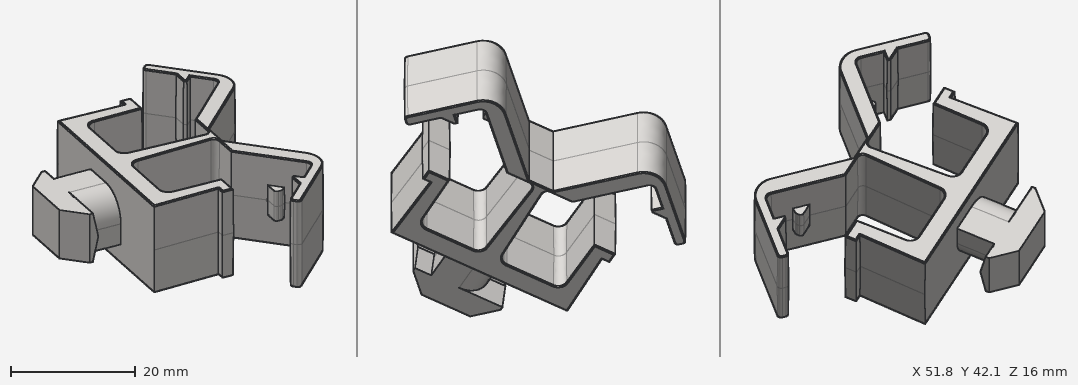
import cadquery as cq
import math

body_width = 51.75
body_length = 31.2
body_height = 16.0
draft_angle = 0.5
rim_chamfer = 0.195

elbow_x = 14.8
elbow_outer_radius = 3.85
elbow_inner_radius = 0.95
outer_arm_thickness = 1.95
inner_arm_thickness = 3.15
tip_radius = 0.65
bridge_top_y = 20.2
bridge_bottom_y = 19.6

barb_offset = 4.75
barb_projection = 1.75
barb_tip_width = 0.65

spine_base_half_width = 1.65
spine_top_half_width = 1.0
spine_top_radius = 0.95

base_half_width = 16.3
base_thickness = 3.55
base_trim = 0.5
tray_corner_radius = 1.5
tray_floor_x = 13.15
tray_rim_x = 13.3
tray_rim_y = 13.95
lip_x = 17.3
lip_thickness = 2.05
wall_top_x = 15.95

nub_height = 5.45
nub_side_x = 13.05
nub_back_y = 23.9
nub_shoulder_y = 25.1
nub_root_x = 12.4
nub_root_y = 25.9
nub_embed = 1.05
nub_radius = 0.5

key_height = 8.9
stem_half_width = 5.05
head_half_width = 8.05
head_ridge_y = -5.75
head_edge_y = -6.7
head_shoulder_y = -7.35
head_end_y = -10.9
head_end_half_width = 4.5

diagonal = math.sqrt(0.5)
corner_loss = math.sqrt(2) - 1
elbow_y = body_length + elbow_outer_radius * corner_loss


def outer_arm(along, depth):
    """Point on the left outer arm: distance from the sharp elbow, and depth from its outer face."""
    return (-elbow_x - (along - depth) * diagonal, elbow_y - (along + depth) * diagonal)


def rounded_wire(corners, inset=0, z=0):
    """Closed counter-clockwise wire through (point, radius) corners, with all sides moved inwards.

    Corners with a radius become tangent arcs, concentric for every inset.
    """
    arcs = []
    for index, (point, radius) in enumerate(corners):
        corner = cq.Vector(*point, z)
        to_previous = (cq.Vector(*corners[index - 1][0], z) - corner).normalized()
        to_next = (cq.Vector(*corners[(index + 1) % len(corners)][0], z) - corner).normalized()
        half_angle = to_previous.getAngle(to_next) / 2
        bisector = (to_previous + to_next).normalized()
        bulge = 1 if to_next.cross(to_previous).z > 0 else -1
        corner += bisector * (bulge * inset / math.sin(half_angle))
        if radius > 0:
            radius -= bulge * inset
        setback = radius / math.tan(half_angle)
        arc_depth = radius / math.sin(half_angle) - radius
        start = corner + to_previous * setback
        middle = corner + bisector * arc_depth
        end = corner + to_next * setback
        arcs.append((start, middle, end, radius))
    edges = []
    for index, (start, middle, end, radius) in enumerate(arcs):
        if radius > 0:
            edges.append(cq.Edge.makeThreePointArc(start, middle, end))
        edges.append(cq.Edge.makeLine(end, arcs[(index + 1) % len(arcs)][0]))
    return cq.Wire.assembleEdges(edges)


def draft_inset(z):
    """Distance the drafted sides have moved inwards at a height above the parting plane."""
    return z * math.tan(math.radians(draft_angle))


def symmetric_loft(corners, levels):
    """Ruled solid through the outline at Z = 0 and its insets at each (z, inset), both up and down."""
    lower = [rounded_wire(corners, inset, -z) for z, inset in reversed(levels)]
    upper = [rounded_wire(corners, inset, z) for z, inset in levels]
    return cq.Workplane(cq.Solid.makeLoft(lower + [rounded_wire(corners)] + upper, True))


def left_outline():
    """Corners of the left half of the body, from the bridge down to the base.

    It runs on past Y = 0 by the trim, so that the back face can be cut without draft.
    """
    tip_x = body_width / 2 + tip_radius * corner_loss
    arm_length = (tip_x - elbow_x) / diagonal
    barb_start = inner_arm_thickness + barb_offset
    barb_depth = outer_arm_thickness + barb_projection
    barb_end = barb_start + barb_tip_width
    bridge_top_x = elbow_x - (elbow_y - bridge_top_y)
    inner_elbow = outer_arm(inner_arm_thickness, outer_arm_thickness)
    bridge_bottom_x = inner_elbow[0] + inner_elbow[1] - bridge_bottom_y
    return [
        ((-bridge_top_x, bridge_top_y), 0),
        ((-elbow_x, elbow_y), elbow_outer_radius),
        (outer_arm(arm_length, 0), tip_radius),
        (outer_arm(arm_length, outer_arm_thickness), tip_radius),
        (outer_arm(barb_end + barb_projection, outer_arm_thickness), 0),
        (outer_arm(barb_end, barb_depth), 0),
        (outer_arm(barb_start, barb_depth), 0),
        (outer_arm(barb_start, outer_arm_thickness), 0),
        (inner_elbow, elbow_inner_radius),
        ((bridge_bottom_x, bridge_bottom_y), 0),
        ((-spine_top_half_width, bridge_bottom_y), spine_top_radius),
        ((-spine_base_half_width, base_thickness), tray_corner_radius),
        ((-tray_floor_x, base_thickness), tray_corner_radius),
        ((-tray_rim_x, tray_rim_y), 0),
        ((-lip_x, tray_rim_y), 0),
        ((-lip_x, tray_rim_y - lip_thickness), 0),
        ((-wall_top_x, tray_rim_y - lip_thickness), 0),
        ((-base_half_width, -base_trim), 0),
    ]


def trim_block(rim_z, top_z):
    """Block that keeps everything on the +Y side of a flat back face with chamfered upper and lower rims."""
    return (
        cq.Workplane("YZ")
        .polyline([
            (0, -rim_z),
            (rim_chamfer, -top_z),
            (body_length, -top_z),
            (body_length, top_z),
            (rim_chamfer, top_z),
            (0, rim_z),
        ])
        .close()
        .extrude(body_width / 2, both=True)
    )


def make_body():
    """Clip profile drafted both ways from the parting plane, with chamfered end rims."""
    left = left_outline()
    right = [((-x, y), radius) for (x, y), radius in reversed(left)]
    outline = left + right
    top_z = body_height / 2
    rim_z = top_z - rim_chamfer
    top_inset = draft_inset(rim_z) + rim_chamfer
    body = symmetric_loft(outline, [(rim_z, draft_inset(rim_z)), (top_z, top_inset)])
    return body.intersect(trim_block(rim_z, top_z))


def make_nub():
    """Left stop nub, rooted inside the inner arm."""
    arm_face_x = nub_root_x - (nub_root_y - nub_back_y)
    outline = [
        ((-nub_root_x, nub_root_y), 0),
        ((-nub_side_x, nub_shoulder_y), nub_radius),
        ((-nub_side_x, nub_back_y), nub_radius),
        ((-arm_face_x, nub_back_y), 0),
        ((-arm_face_x + nub_embed, nub_back_y + nub_embed), 0),
        ((-nub_root_x + nub_embed, nub_root_y + nub_embed), 0),
    ]
    nub_top_z = nub_height / 2
    return symmetric_loft(outline, [(nub_top_z, draft_inset(nub_top_z))])


def make_key():
    """Stem with two opposite rounded corners, ending in a chamfered head with a ridged shoulder."""
    stem = cq.Workplane("XZ").rect(2 * stem_half_width, key_height).extrude(-head_shoulder_y)
    stem = stem.edges("|Y and ((>X and >Z) or (<X and <Z))").fillet(stem_half_width)
    head = (
        cq.Workplane("XY")
        .polyline([
            (-head_half_width, head_ridge_y),
            (head_half_width, head_ridge_y),
            (head_half_width, head_shoulder_y),
            (head_end_half_width, head_end_y),
            (-head_end_half_width, head_end_y),
            (-head_half_width, head_shoulder_y),
        ])
        .close()
        .extrude(key_height / 2, both=True)
    )
    ridge_profile = (
        cq.Workplane("YZ")
        .polyline([
            (head_ridge_y, 0),
            (head_edge_y, key_height / 2),
            (head_end_y, key_height / 2),
            (head_end_y, -key_height / 2),
            (head_edge_y, -key_height / 2),
        ])
        .close()
        .extrude(head_half_width, both=True)
    )
    return stem.union(head.intersect(ridge_profile))


nub = make_nub()
result = make_body().union(nub).union(nub.mirror("YZ")).union(make_key())